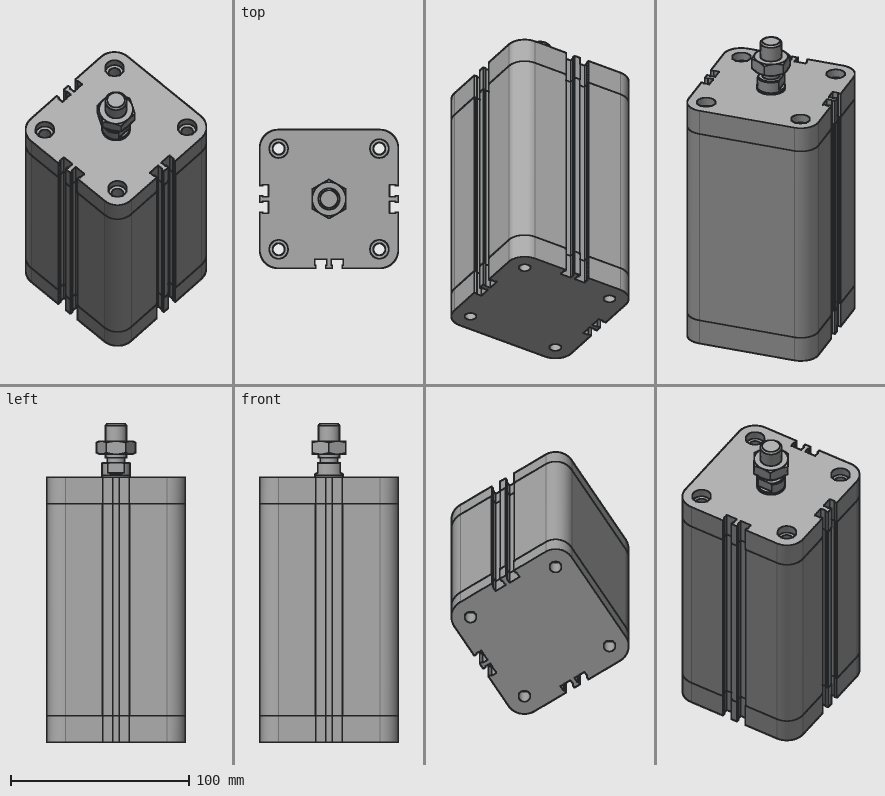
import cadquery as cq
import math

BODY_SIDE = 78.0
CORNER_RADIUS = 10.5
BODY_TOP = 149.0
COVER_HEIGHT = 14.9
BARREL_TOP = BODY_TOP - COVER_HEIGHT
BARREL_HEIGHT = BARREL_TOP - COVER_HEIGHT

HOLE_SPACING = 56.5
HOLE_DIAMETER = 6.6
COUNTERBORE_DIAMETER = 10.5
COUNTERBORE_DEPTH = 5.0

SLOT_DEPTH = 5.0
LIP_THICKNESS = 1.8
SLOT_MOUTH_WIDTH = 5.5
SLOT_CAVITY_WIDTH = 6.6
SLOT_OFFSET = 4.7
BARREL_MOUTH_RELIEF = 0.2
RELIEF_DEPTH = 0.9
SLOTTED_SIDE_ANGLES = (0, 90, -90)

OVERALL_HEIGHT = 179.0
ROD_DIAMETER = 15.8
THREAD_DIAMETER = 12.0
UNDERCUT_DIAMETER = 10.0
THREAD_CHAMFER = 1.0
THREAD_BOTTOM = 159.8
SHOULDER_TOP = 157.2
SHOULDER_CHAMFER = 0.5
FLATS_WIDTH = 12.9
FLATS_BOTTOM = 151.5
FLATS_RUNOUT_ANGLE = 30
COLLAR_DIAMETER = 16.0
COLLAR_HEIGHT = 1.0

NUT_ACROSS_FLATS = 19.0
NUT_SIDES = 6
NUT_CORNER_DIAMETER = NUT_ACROSS_FLATS / math.cos(math.pi / NUT_SIDES)
NUT_BOTTOM = 161.8
NUT_THICKNESS = 7.3
NUT_CHAMFER_ANGLE = 30


def slot_cutter(height, relief):
    """Two T-slots opening on the -Y side, with an optional wider step at each mouth."""
    face_y = -BODY_SIDE / 2
    steps = [
        (SLOT_MOUTH_WIDTH, 0, SLOT_DEPTH),
        (SLOT_CAVITY_WIDTH, LIP_THICKNESS, SLOT_DEPTH),
    ]
    if relief:
        steps.append((SLOT_MOUTH_WIDTH + 2 * relief, 0, RELIEF_DEPTH))
    cutter = cq.Workplane("XY")
    for side in (-1, 1):
        for width, start, end in steps:
            step = (
                cq.Workplane("XY")
                .center(side * SLOT_OFFSET, face_y + (start + end) / 2)
                .rect(width, end - start)
                .extrude(height)
            )
            cutter = cutter.add(step)
    return cutter.combine()


def profile_block(bottom, height, relief=0):
    """Rounded square block with the bolt holes and the slots running through it."""
    block = (
        cq.Workplane("XY")
        .rect(BODY_SIDE, BODY_SIDE)
        .extrude(height)
        .edges("|Z")
        .fillet(CORNER_RADIUS)
        .faces(">Z")
        .workplane()
        .rect(HOLE_SPACING, HOLE_SPACING, forConstruction=True)
        .vertices()
        .hole(HOLE_DIAMETER)
    )
    cutter = slot_cutter(height, relief)
    for angle in SLOTTED_SIDE_ANGLES:
        block = block.cut(cutter.rotate((0, 0, 0), (0, 0, 1), angle))
    return block.translate((0, 0, bottom))


def make_top_cover():
    cover = profile_block(BARREL_TOP, COVER_HEIGHT)
    counterbores = (
        cq.Workplane("XY", origin=(0, 0, BODY_TOP - COUNTERBORE_DEPTH))
        .rect(HOLE_SPACING, HOLE_SPACING, forConstruction=True)
        .vertices()
        .circle(COUNTERBORE_DIAMETER / 2)
        .extrude(COUNTERBORE_DEPTH)
    )
    return cover.cut(counterbores)


def make_rod():
    """Stepped rod standing on the top cover, threaded end upward."""

    def turned(diameter, bottom, top):
        return cq.Workplane("XY", origin=(0, 0, bottom)).circle(diameter / 2).extrude(top - bottom)

    collar_top = BODY_TOP + COLLAR_HEIGHT
    thread = turned(THREAD_DIAMETER, THREAD_BOTTOM, OVERALL_HEIGHT).faces(">Z").chamfer(THREAD_CHAMFER)
    shoulder = turned(ROD_DIAMETER, collar_top, SHOULDER_TOP).faces(">Z").chamfer(SHOULDER_CHAMFER)
    flat_x = FLATS_WIDTH / 2
    rim_x = ROD_DIAMETER / 2
    runout_drop = (rim_x - flat_x) * math.tan(math.radians(FLATS_RUNOUT_ANGLE))
    flat_cutter = (
        cq.Workplane("XZ")
        .moveTo(flat_x, SHOULDER_TOP)
        .lineTo(flat_x, FLATS_BOTTOM)
        .lineTo(rim_x, FLATS_BOTTOM - runout_drop)
        .lineTo(rim_x, SHOULDER_TOP)
        .close()
        .extrude(ROD_DIAMETER / 2, both=True)
    )
    wrench_section = shoulder.cut(flat_cutter).cut(flat_cutter.mirror("YZ"))
    return (
        turned(COLLAR_DIAMETER, BODY_TOP, collar_top)
        .union(wrench_section)
        .union(turned(UNDERCUT_DIAMETER, SHOULDER_TOP, THREAD_BOTTOM))
        .union(thread)
    )


def make_nut():
    """Hexagon nut with corners along Y, both faces chamfered down to the across-flats circle."""
    hexagon = (
        cq.Workplane("XY")
        .polygon(NUT_SIDES, NUT_CORNER_DIAMETER)
        .extrude(NUT_THICKNESS)
        .rotate((0, 0, 0), (0, 0, 1), 90)
    )
    face_radius = NUT_ACROSS_FLATS / 2
    rim_radius = NUT_CORNER_DIAMETER / 2
    chamfer_height = (rim_radius - face_radius) * math.tan(math.radians(NUT_CHAMFER_ANGLE))
    chamfer_envelope = (
        cq.Workplane("XZ")
        .moveTo(0, 0)
        .lineTo(face_radius, 0)
        .lineTo(rim_radius, chamfer_height)
        .lineTo(rim_radius, NUT_THICKNESS - chamfer_height)
        .lineTo(face_radius, NUT_THICKNESS)
        .lineTo(0, NUT_THICKNESS)
        .close()
        .revolve(360, (0, 0, 0), (0, 1, 0))
    )
    bore = cq.Workplane("XY").circle(THREAD_DIAMETER / 2).extrude(NUT_THICKNESS)
    return hexagon.intersect(chamfer_envelope).cut(bore).translate((0, 0, NUT_BOTTOM))


bottom_cover = profile_block(0, COVER_HEIGHT)
barrel = profile_block(COVER_HEIGHT, BARREL_HEIGHT, BARREL_MOUTH_RELIEF)
top_cover = make_top_cover()
rod = make_rod()
nut = make_nut()

result = cq.Compound.makeCompound(
    [bottom_cover.val(), barrel.val(), top_cover.val(), rod.val(), nut.val()]
)